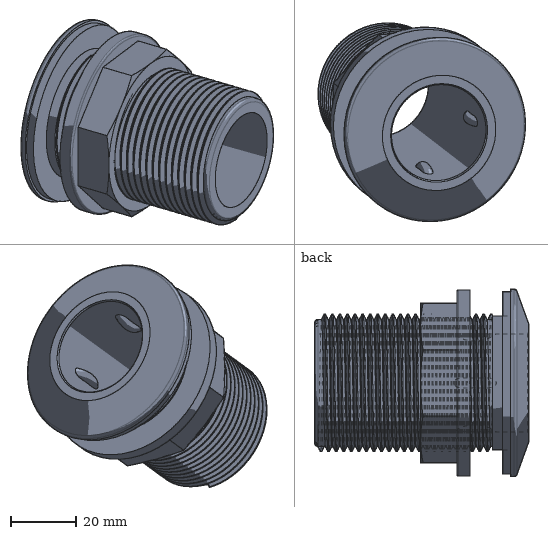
import cadquery as cq
import math

overall_length = 65.5

face_radius = 18.0
head_radius = 28.7
head_cone_length = 3.85
head_thickness = 5.6
head_edge_fillet = 1.0
collar_radius = 20.5
collar_end = 11.15
barrel_radius = 19.45
barrel_end_fillet = 1.05
bore_radius = 15.0
mouth_chamfer = 0.4

thread_radius = 21.0
thread_crest_width = 0.4
thread_base_width = 2.2
thread_root_sink = 0.2
thread_start = 11.5
thread_length = 52.0
thread_turns = 22.5
thread_pitch = thread_length / thread_turns

lug_count = 4
lug_radius = 1.6
lug_axis_radius = 14.35
lug_start = 9.95
lug_half_length = 6.55

gasket_radius = 27.9
gasket_thickness = 2.5

nut_start = 17.95
flange_radius = 28.5
flange_thickness = 4.05
flange_fillet = 0.5
nut_length = 15.1
nut_sides = 8
nut_across_flats = 48.85
nut_chamfer_length = 0.7


def disc(start, length, radius):
    """Cylinder on the X axis."""
    return cq.Workplane("YZ").workplane(offset=start).circle(radius).extrude(length)


def make_thread_ridge():
    """Right-handed helical ridge that starts and ends as a plain cut."""
    base_radius = barrel_radius - thread_root_sink
    helix = cq.Wire.makeHelix(thread_pitch, thread_length, base_radius)
    ridge = (
        cq.Workplane("XZ")
        .polyline([
            (base_radius, -thread_base_width / 2),
            (thread_radius, -thread_crest_width / 2),
            (thread_radius, thread_crest_width / 2),
            (base_radius, thread_base_width / 2),
        ])
        .close()
        .sweep(cq.Workplane(helix), isFrenet=True)
    )
    ridge = ridge.rotate((0, 0, 0), (1, 0, 1), 180)
    return ridge.translate((thread_start, 0, 0))


def make_threaded_rod():
    """Solid rod under the thread, cut from the tail end to inside the head."""
    rod = disc(head_thickness, overall_length - head_thickness, barrel_radius)
    rod = rod.faces(">X").edges().fillet(barrel_end_fillet)
    return rod.union(make_thread_ridge(), clean=False)


def make_head():
    """Conical head with a rounded rim, and the plain collar behind it."""
    head = (
        cq.Workplane("XY")
        .polyline([
            (0, 0),
            (0, face_radius),
            (head_cone_length, head_radius),
            (head_thickness, head_radius),
            (head_thickness, collar_radius),
            (collar_end, collar_radius),
            (collar_end, 0),
        ])
        .close()
        .revolve(360, (0, 0, 0), (1, 0, 0))
    )
    rim_edge = cq.selectors.NearestToPointSelector((head_cone_length, 0, 0))
    return head.edges("%CIRCLE").edges(rim_edge).fillet(head_edge_fillet)


def make_bore():
    """Space of the through bore, with a small chamfer at the mouth."""
    return (
        cq.Workplane("XY")
        .polyline([
            (0, 0),
            (0, bore_radius + mouth_chamfer),
            (mouth_chamfer, bore_radius),
            (overall_length, bore_radius),
            (overall_length, 0),
        ])
        .close()
        .revolve(360, (0, 0, 0), (1, 0, 0))
    )


def make_lugs(bore):
    """Arches of bent round rod that rise out of the bore wall, trimmed to the bore."""
    rise = bore_radius - lug_axis_radius + lug_radius
    arch_radius = (lug_half_length ** 2 + rise ** 2) / (2 * rise)
    ring_radius = arch_radius - lug_radius
    ring = cq.Workplane(cq.Solid.makeTorus(ring_radius, lug_radius, dir=cq.Vector(0, 1, 0)))
    ring = ring.translate((lug_start + lug_half_length, 0, lug_axis_radius + ring_radius))
    lugs = cq.Workplane("YZ")
    for index in range(lug_count):
        turned_ring = ring.rotate((0, 0, 0), (1, 0, 0), index * 360 / lug_count)
        lugs = lugs.add(turned_ring.intersect(bore))
    return lugs


def make_fitting(threaded_rod):
    bore = make_bore()
    fitting = threaded_rod.union(make_head(), clean=False).cut(bore, clean=False)
    return fitting.union(make_lugs(bore), glue=True, clean=False)


def make_gasket():
    ring = disc(head_thickness, gasket_thickness, gasket_radius)
    return ring.cut(disc(head_thickness, gasket_thickness, collar_radius))


def make_nut(threaded_rod):
    corner_radius = nut_across_flats / 2 / math.cos(math.pi / nut_sides)
    flange = disc(nut_start, flange_thickness, flange_radius).faces(">X").edges().fillet(flange_fillet)
    grip = (
        cq.Workplane("YZ")
        .workplane(offset=nut_start)
        .polygon(nut_sides, 2 * corner_radius)
        .extrude(nut_length)
        .rotate((0, 0, 0), (1, 0, 0), 180 / nut_sides)
    )
    chamfer_envelope = disc(nut_start, nut_length, corner_radius).faces(">X").edges().chamfer(
        nut_chamfer_length, corner_radius - nut_across_flats / 2)
    grip = grip.intersect(chamfer_envelope)
    return flange.union(grip).cut(threaded_rod, clean=False)


threaded_rod = make_threaded_rod()
fitting = make_fitting(threaded_rod)
gasket = make_gasket()
nut = make_nut(threaded_rod)
result = cq.Compound.makeCompound([fitting.solids().val(), gasket.solids().val(), nut.solids().val()])